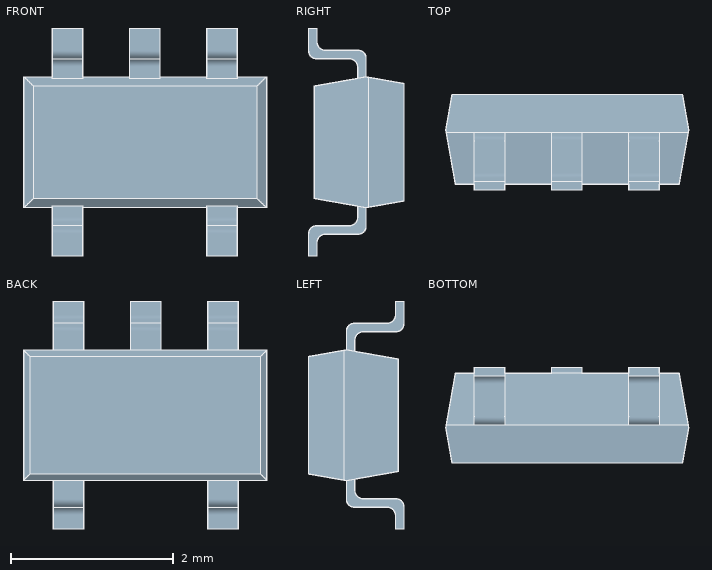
import cadquery as cq
import math


body_width = 2.99
body_height = 1.61
body_near_y = 0.07
body_far_y = 1.175
side_parting_y = 0.74
draft_angle = 10.0

lead_span = 2.80
lead_width = 0.38
lead_thickness = 0.107
lead_pitch = 0.95
middle_lead_x = -0.006
lead_bend_radius = 0.10
foot_length = 0.375
lead_exit_y = 0.71
lead_embed = 0.10

end_parting_y = lead_exit_y

draft_slope = math.tan(math.radians(draft_angle))


def drafted_outline(plane, half_width, parting_y):
    """Six-point outline, widest at parting_y and tapering to both faces of the body."""
    near_half = half_width - draft_slope * (parting_y - body_near_y)
    far_half = half_width - draft_slope * (body_far_y - parting_y)
    points = [
        (-near_half, body_near_y),
        (near_half, body_near_y),
        (half_width, parting_y),
        (far_half, body_far_y),
        (-far_half, body_far_y),
        (-half_width, parting_y),
    ]
    if plane == "YZ":
        points = [(y, across) for across, y in points]
    return cq.Workplane(plane).polyline(points).close()


def make_body():
    """Common volume of a prism tapered in X and a prism tapered in Z."""
    x_tapered = drafted_outline("XY", body_width / 2, side_parting_y).extrude(body_height / 2, both=True)
    z_tapered = drafted_outline("YZ", body_height / 2, end_parting_y).extrude(body_width / 2, both=True)
    return x_tapered.intersect(z_tapered)


def make_upper_lead(x):
    """Gull-wing lead on the +Z side: out of the body, down the riser and out along the foot."""
    tip_z = lead_span / 2
    riser_inner_z = tip_z - foot_length
    riser_outer_z = riser_inner_z + lead_thickness
    root_z = body_height / 2 - lead_embed
    lead = (
        cq.Workplane("YZ")
        .moveTo(lead_exit_y, root_z)
        .lineTo(lead_exit_y, riser_outer_z)
        .lineTo(lead_thickness, riser_outer_z)
        .lineTo(lead_thickness, tip_z)
        .lineTo(0, tip_z)
        .lineTo(0, riser_inner_z)
        .lineTo(lead_exit_y - lead_thickness, riser_inner_z)
        .lineTo(lead_exit_y - lead_thickness, root_z)
        .close()
        .extrude(lead_width / 2, both=True)
    )
    bend_zone = cq.selectors.BoxSelector(
        (-lead_width, -lead_thickness, riser_inner_z - lead_thickness / 2),
        (lead_width, lead_exit_y + lead_thickness, riser_outer_z + lead_thickness / 2),
    )
    return lead.edges("|X").edges(bend_zone).fillet(lead_bend_radius).translate((x, 0, 0))


def make_lower_lead(x):
    """The same lead mirrored to the -Z side."""
    return make_upper_lead(x).mirror("XY")


lead_positions = (middle_lead_x - lead_pitch, middle_lead_x, middle_lead_x + lead_pitch)

result = make_body()
for x in lead_positions:
    result = result.union(make_upper_lead(x))
for x in (lead_positions[0], lead_positions[-1]):
    result = result.union(make_lower_lead(x))